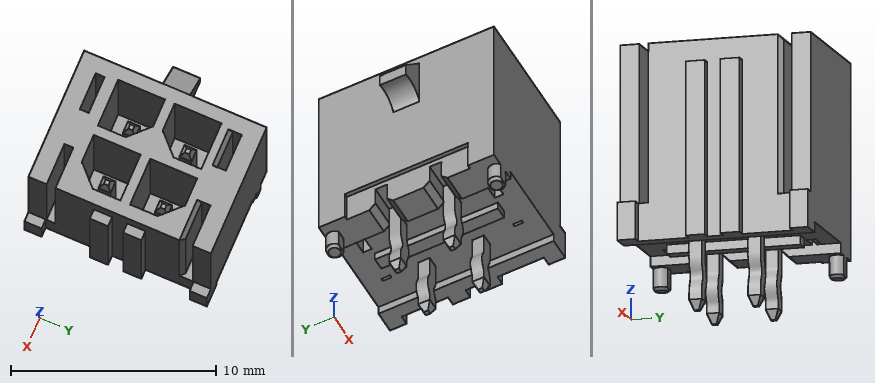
import cadquery as cq


BODY_X = 6.86
BODY_Y = 9.7
BODY_Z = 9.9
LEFT = -BODY_X / 2
RIGHT = BODY_X / 2

PITCH = 3.0
SIDES = (-1, 1)
PIN_WIDTH = 0.64
TIP_WIDTH = 0.24
TIP_LENGTH = 0.5
PIN_TOP = 6.55
TAIL_LENGTH = 3.2
WAVE_TOP = -0.62
WAVE_LENGTH = 1.75
WAVE_SHIFT = 0.21

CAVITY_WIDTH = 2.49
CAVITY_CHAMFER = 1.02
CAVITY_FLOOR = 2.1

CHANNEL_HEIGHT = 0.51
LEFT_FOOT_X = 1.72
RIGHT_FOOT_X = 0.71
SPACER_X = 0.65
SPACER_Y = 6.8
SPACER_CLEARANCE = 0.05

RELIEF_DEPTH = 0.21
RELIEF_Y = 6.8
RELIEF_HEIGHT = 1.74
NOTCH_HEIGHT = 1.41
NOTCH_CHAMFER = 0.34

SLOT_Y = 3.64
SLOT_WIDTH = 0.47
SLOT_INNER = SLOT_Y - SLOT_WIDTH / 2
CLOSED_SLOT_OFFSET = 0.83
CLOSED_SLOT_X = 1.95
OPEN_SLOT_X = 2.2
OPEN_SLOT_GAP = 0.15
SLOT_CHAMFER = 0.24

FLANGE_X = 0.5
CORNER_FLANGE_Y = 0.92
CORNER_FLANGE_HEIGHT = 1.9
RIB_Y = 0.97
RIB_SPACING = 1.77
RIB_TOP = 8.74

HOOK_REACH = 1.4
HOOK_Y = 1.44
HOOK_TOP = 9.45
HOOK_NOSE_TOP = 7.8
HOOK_NOSE_BOTTOM = 7.07
HOOK_ROOT = 6.5
HOOK_ARC_REACH = 0.73
HOOK_ARC_Z = 7.11

PEG_DIAMETER = 0.89
PEG_FLATS = 0.73
PEG_LENGTH = 1.11
PEG_CHAMFER = 0.15
PEG_OFFSET = 0.95


def block(x_range, y_range, z_range):
    """Box between two limits along each axis; either limit may come first."""
    x0, x1 = sorted(x_range)
    y0, y1 = sorted(y_range)
    z0, z1 = sorted(z_range)
    return cq.Workplane("XY").box(x1 - x0, y1 - y0, z1 - z0, centered=False).translate((x0, y0, z0))


def prism_along_x(points, x0, x1):
    """Extrude a (y, z) outline from x0 to x1."""
    return cq.Workplane("YZ", origin=(x0, 0, 0)).polyline(points).close().extrude(x1 - x0)


def centered_range(center, width):
    return (center - width / 2, center + width / 2)


def pin_centers():
    return [(column * PITCH / 2, row * PITCH / 2) for column in SIDES for row in SIDES]


def channel():
    """Passage between the feet, open at both ends."""
    return block((LEFT + LEFT_FOOT_X, RIGHT - RIGHT_FOOT_X), centered_range(0, BODY_Y), (0, CHANNEL_HEIGHT))


def spacer():
    """Low bar in the middle of the channel."""
    return block(centered_range(0, SPACER_X), centered_range(0, SPACER_Y), (SPACER_CLEARANCE, CHANNEL_HEIGHT))


def flanges():
    """Two corner flanges and two tall ribs on the +X face."""
    x_range = (RIGHT, RIGHT + FLANGE_X)
    parts = cq.Workplane("XY")
    for side in SIDES:
        outer = side * BODY_Y / 2
        corner_range = (outer, outer - side * CORNER_FLANGE_Y)
        parts = parts.add(block(x_range, corner_range, (0, CORNER_FLANGE_HEIGHT)))
        parts = parts.add(block(x_range, centered_range(side * RIB_SPACING / 2, RIB_Y), (0, RIB_TOP)))
    return parts.combine()


def hook():
    """Latch hook with a sloped top and a concave underside."""
    nose = LEFT - HOOK_REACH
    return (
        cq.Workplane("XZ")
        .moveTo(LEFT, HOOK_TOP)
        .lineTo(nose, HOOK_NOSE_TOP)
        .lineTo(nose, HOOK_NOSE_BOTTOM)
        .threePointArc((LEFT - HOOK_ARC_REACH, HOOK_ARC_Z), (LEFT, HOOK_ROOT))
        .close()
        .extrude(HOOK_Y / 2, both=True)
    )


def peg(side):
    """Round peg with two flats, the outer one flush with the housing's side."""
    center_y = side * (BODY_Y - PEG_FLATS) / 2
    shank = cq.Workplane("XY").circle(PEG_DIAMETER / 2).extrude(-PEG_LENGTH)
    shank = shank.faces("<Z").chamfer(PEG_CHAMFER)
    flats = cq.Workplane("XY").rect(PEG_DIAMETER, PEG_FLATS).extrude(-PEG_LENGTH)
    return shank.intersect(flats).translate((LEFT + PEG_OFFSET, center_y, 0))


def cavity(column, row):
    """Square cavity with one corner cut off; the cut alternates to key the mating part."""
    half = CAVITY_WIDTH / 2
    cut_side = column * row
    outline = [
        (-half, -cut_side * half),
        (half, -cut_side * half),
        (half, cut_side * (half - CAVITY_CHAMFER)),
        (half - CAVITY_CHAMFER, cut_side * half),
        (-half, cut_side * half),
    ]
    return (
        cq.Workplane("XY")
        .polyline(outline)
        .close()
        .extrude(BODY_Z - CAVITY_FLOOR)
        .translate((column * PITCH / 2, row * PITCH / 2, CAVITY_FLOOR))
    )


def pin_notch(row):
    """Notch that bares a pin of the -X column, flared at its mouth."""
    center_y = row * PITCH / 2
    half = PIN_WIDTH / 2
    pin_face = -PITCH / 2 - half
    slot = block((LEFT, pin_face), centered_range(center_y, PIN_WIDTH), (0, NOTCH_HEIGHT))
    flare = prism_along_x(
        [
            (center_y - half - NOTCH_CHAMFER, 0),
            (center_y + half + NOTCH_CHAMFER, 0),
            (center_y + half, NOTCH_CHAMFER),
            (center_y - half, NOTCH_CHAMFER),
        ],
        LEFT,
        LEFT + LEFT_FOOT_X,
    )
    return slot.union(flare)


def closed_slot(side):
    """Slot over the -X foot, which forms part of its floor."""
    start = LEFT + CLOSED_SLOT_OFFSET
    return block(
        (start, start + CLOSED_SLOT_X),
        centered_range(side * SLOT_Y, SLOT_WIDTH),
        (CHANNEL_HEIGHT, BODY_Z),
    )


def open_slot(side):
    """Slot open to the +X face, with a narrow gap passing right through."""
    start = RIGHT - OPEN_SLOT_X
    y_range = centered_range(side * SLOT_Y, SLOT_WIDTH)
    gap = block((start, start + OPEN_SLOT_GAP), y_range, (0, BODY_Z))
    return gap.union(block((start, RIGHT), y_range, (CORNER_FLANGE_HEIGHT, BODY_Z)))


def slot_bevel(x0, x1):
    """Bevel along the top inner edge of a +Y slot."""
    return prism_along_x(
        [
            (SLOT_INNER, BODY_Z),
            (SLOT_INNER - SLOT_CHAMFER, BODY_Z),
            (SLOT_INNER, BODY_Z - SLOT_CHAMFER),
        ],
        x0,
        x1,
    )


def corner_bevel():
    """Upright bevel where the open +Y slot meets the +X face."""
    return (
        cq.Workplane("XY", origin=(0, 0, CORNER_FLANGE_HEIGHT))
        .polyline([(RIGHT, SLOT_INNER), (RIGHT, SLOT_INNER - SLOT_CHAMFER), (RIGHT - SLOT_CHAMFER, SLOT_INNER)])
        .close()
        .extrude(BODY_Z - CORNER_FLANGE_HEIGHT)
    )


def slot_ramp():
    """Wedge on the foot along the inner wall of the closed +Y slot."""
    return prism_along_x(
        [
            (SLOT_INNER, CHANNEL_HEIGHT),
            (SLOT_INNER + SLOT_CHAMFER, CHANNEL_HEIGHT),
            (SLOT_INNER, CHANNEL_HEIGHT + SLOT_CHAMFER),
        ],
        LEFT + CLOSED_SLOT_OFFSET,
        LEFT + LEFT_FOOT_X,
    )


def make_housing():
    body = block((LEFT, RIGHT), centered_range(0, BODY_Y), (0, BODY_Z))
    body = body.cut(channel()).union(spacer()).union(flanges()).union(hook())
    body = body.cut(block((LEFT, LEFT + RELIEF_DEPTH), centered_range(0, RELIEF_Y), (0, RELIEF_HEIGHT)))
    for side in SIDES:
        body = body.union(peg(side)).cut(pin_notch(side)).cut(closed_slot(side)).cut(open_slot(side))
    for column in SIDES:
        for row in SIDES:
            body = body.cut(cavity(column, row))
    closed_start = LEFT + CLOSED_SLOT_OFFSET
    body = body.cut(slot_bevel(closed_start, closed_start + CLOSED_SLOT_X))
    body = body.cut(slot_bevel(RIGHT - OPEN_SLOT_X, RIGHT))
    body = body.cut(corner_bevel()).union(slot_ramp())
    pin_holes = cq.Workplane("XY").pushPoints(pin_centers()).rect(PIN_WIDTH, PIN_WIDTH).extrude(CAVITY_FLOOR)
    return body.cut(pin_holes).solids()


def pin_tip(base_z, direction):
    """Four-sided taper that starts at base_z and points up (1) or down (-1)."""
    return (
        cq.Workplane("XY", origin=(0, 0, base_z))
        .rect(PIN_WIDTH, PIN_WIDTH)
        .workplane(offset=direction * TIP_LENGTH)
        .rect(TIP_WIDTH, TIP_WIDTH)
        .loft(ruled=True)
    )


def make_pin(x, y):
    """Square pin whose tail swings towards the centre of the pattern and back."""
    swing = -WAVE_SHIFT if x > 0 else WAVE_SHIFT
    shank_top = PIN_TOP - TIP_LENGTH
    shank_bottom = TIP_LENGTH - TAIL_LENGTH
    path = (
        cq.Workplane("XZ")
        .moveTo(0, shank_top)
        .lineTo(0, WAVE_TOP)
        .tangentArcPoint((swing / 2, WAVE_TOP - WAVE_LENGTH / 4), relative=False)
        .threePointArc((swing, WAVE_TOP - WAVE_LENGTH / 2), (swing / 2, WAVE_TOP - 3 * WAVE_LENGTH / 4))
        .tangentArcPoint((0, WAVE_TOP - WAVE_LENGTH), relative=False)
        .lineTo(0, shank_bottom)
    )
    shank = cq.Workplane("XY", origin=(0, 0, shank_top)).rect(PIN_WIDTH, PIN_WIDTH).sweep(path)
    pin = shank.union(pin_tip(shank_top, 1)).union(pin_tip(shank_bottom, -1))
    return pin.translate((x, y, 0)).solids()


housing = make_housing()
pins = [make_pin(x, y) for x, y in pin_centers()]

result = cq.Compound.makeCompound([housing.val(), *[pin.val() for pin in pins]])